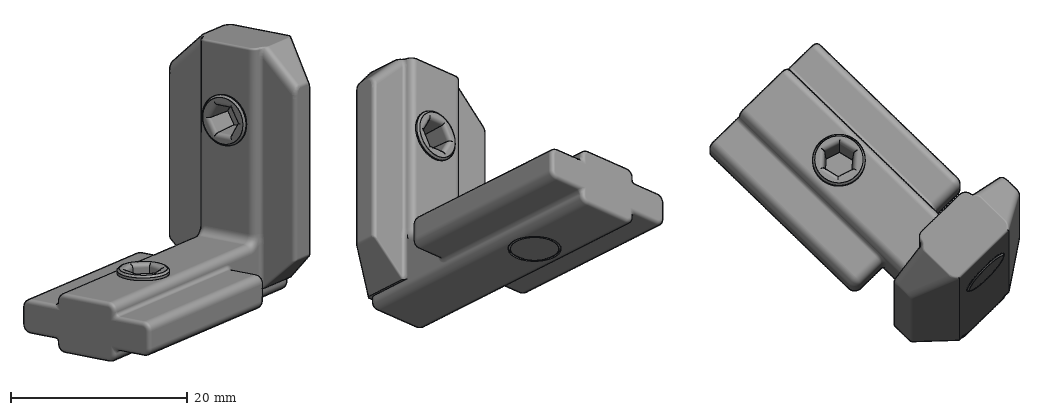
import cadquery as cq
import math

width = 17.5
length = 35.5
height = 30.0
leg_thickness = 7.0
core_width = 8.0
large_radius = 1.0
small_radius = large_radius / 2
fine_radius = large_radius / 4

lying_wing_length = 23.5
lying_wing_bottom = 1.5
lying_wing_thickness = 4.0
lying_seam_radius = 0.45

standing_wing_inset = 1.0
standing_wing_edge = 3.0
wing_slant_height = 4.0
wing_top_half_width = 4.5
wing_bottom_half_width = 4.28
standing_wing_bottom = 1.5

screw_diameter = 6.0
screw_length = 7.55
screw_chamfer = 0.25
screw_offset = -0.25
lying_screw_y = 11.98
standing_screw_z = 21.0
standing_screw_tip = 0.15
socket_flats = 3.35
socket_floor_flats = 3.0
socket_mouth_radius = 0.5
socket_depth = 3.55
lying_socket_turn = -17.5

half_width = width / 2
half_core = core_width / 2
core_front = length - leg_thickness
wing_front = core_front + standing_wing_inset
wing_edge_back = wing_front + standing_wing_edge
sides = (-1, 1)


def near(x, y, z):
    """Selector for the edge whose centre lies closest to a point."""
    return cq.selectors.NearestToPointSelector((x, y, z))


def make_core():
    """L-shaped bar that joins both legs, rounded along its sides."""
    core = (
        cq.Workplane("YZ")
        .moveTo(0, 0)
        .lineTo(length, 0)
        .lineTo(length, height)
        .lineTo(core_front, height)
        .lineTo(core_front, leg_thickness)
        .lineTo(0, leg_thickness)
        .close()
        .extrude(half_core, both=True)
    )
    core = core.edges(near(0, core_front, leg_thickness)).fillet(large_radius)
    core = core.edges(near(0, length, 0)).fillet(large_radius)
    for side in sides:
        for z in (0, leg_thickness):
            core = core.edges(near(side * half_core, core_front / 2, z)).fillet(large_radius)
    return core.faces("<Y").edges().fillet(small_radius)


def make_lying_plate():
    """Flat plate whose two sides form the wings of the lying leg."""
    plate = cq.Workplane("XY", origin=(0, 0, lying_wing_bottom)).box(
        width, lying_wing_length, lying_wing_thickness, centered=(True, False, False)
    )
    plate = plate.edges("|Y or >Y").fillet(large_radius)
    return plate.faces("<Y").edges().fillet(small_radius)


def make_standing_plate():
    """Plate with sloped back and slanted ends that forms the wings of the standing leg."""
    section = (
        cq.Workplane("XY")
        .moveTo(-half_width, wing_front)
        .lineTo(half_width, wing_front)
        .lineTo(half_width, wing_edge_back)
        .lineTo(half_core, length)
        .lineTo(-half_core, length)
        .lineTo(-half_width, wing_edge_back)
        .close()
        .extrude(height)
    )
    low_corner = standing_wing_bottom + wing_slant_height
    high_corner = height - wing_slant_height
    outline = (
        cq.Workplane("XZ", origin=(0, wing_front, 0))
        .moveTo(-wing_bottom_half_width, standing_wing_bottom)
        .lineTo(wing_bottom_half_width, standing_wing_bottom)
        .lineTo(half_width, low_corner)
        .lineTo(half_width, high_corner)
        .lineTo(wing_top_half_width, height)
        .lineTo(-wing_top_half_width, height)
        .lineTo(-half_width, high_corner)
        .lineTo(-half_width, low_corner)
        .close()
        .extrude(-leg_thickness)
    )
    plate = section.intersect(outline)

    top_x = (half_width + wing_top_half_width) / 2
    top_z = (height + high_corner) / 2
    bottom_x = (half_width + wing_bottom_half_width) / 2
    bottom_z = (standing_wing_bottom + low_corner) / 2
    slope_y = (wing_edge_back + length) / 2
    for side in sides:
        for y in (wing_front, slope_y):
            plate = plate.edges(near(side * top_x, y, top_z)).fillet(large_radius)
    plate = plate.faces("<X or >X").edges().fillet(small_radius)
    for side in sides:
        for y in (wing_front, slope_y):
            plate = plate.edges(near(side * bottom_x, y, bottom_z)).fillet(fine_radius)
    return plate


def core_side_edges(body, y_low, y_high, z_low, z_high):
    """Edges that lie in the two side faces of the core, within a range of Y and Z."""
    slack = 0.005
    edges = body.newObject([])
    for side in sides:
        edges = edges.add(
            body.edges(
                cq.selectors.BoxSelector(
                    (side * half_core - slack, y_low - slack, z_low - slack),
                    (side * half_core + slack, y_high + slack, z_high + slack),
                    boundingbox=True,
                )
            )
        )
    return edges


def make_bracket():
    """Both legs in one body, with fillets along the seams and around the top end."""
    bracket = make_core().union(make_standing_plate())
    bracket = core_side_edges(bracket, wing_front, wing_front, 0, height).fillet(small_radius)
    bracket = bracket.union(make_lying_plate())
    wing_top = lying_wing_bottom + lying_wing_thickness
    seams = core_side_edges(bracket, 0, lying_wing_length, lying_wing_bottom, wing_top)
    bracket = seams.fillet(lying_seam_radius)
    return bracket.faces(">Z").edges().fillet(fine_radius)


def make_screw(socket_turn):
    """Headless screw along +Z with its tip at the origin and a hexagon socket on top."""
    screw = cq.Workplane("XY").circle(screw_diameter / 2).extrude(screw_length)
    screw = screw.faces("<Z or >Z").chamfer(screw_chamfer)
    flats_to_corners = 1 / math.cos(math.radians(30))
    draft = math.degrees(math.atan2((socket_flats - socket_floor_flats) / 2, socket_depth))
    socket = (
        cq.Workplane("XY", origin=(0, 0, screw_length))
        .polygon(6, socket_flats * flats_to_corners)
        .extrude(-socket_depth, taper=draft)
        .rotate((0, 0, 0), (0, 0, 1), socket_turn)
    )
    screw = screw.cut(socket)
    mouth = screw.faces(">Z").edges("%LINE")
    return mouth.fillet(socket_mouth_radius)


def place_lying(part):
    """Moves a part from the Z axis at the origin to the hole of the lying leg."""
    return part.translate((screw_offset, lying_screw_y, 0))


def place_standing(part):
    """Turns a part from the Z axis to -Y and moves it to the hole of the standing leg."""
    part = part.rotate((0, 0, 0), (1, 0, 0), 90)
    return part.translate((screw_offset, length + standing_screw_tip, standing_screw_z))


hole = cq.Workplane("XY").circle(screw_diameter / 2).extrude(screw_length)
bracket = make_bracket().cut(place_lying(hole)).cut(place_standing(hole))
lying_screw = place_lying(make_screw(lying_socket_turn))
standing_screw = place_standing(make_screw(0))

result = cq.Compound.makeCompound([bracket.val(), lying_screw.val(), standing_screw.val()])